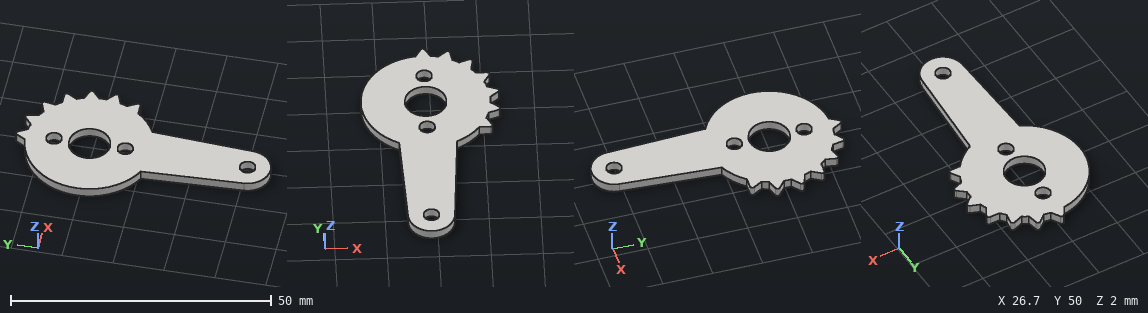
import cadquery as cq
import math

thickness = 2.0
head_radius = 12.5
bore_radius = 4.0
small_hole_radius = 1.5
head_hole_offset = 7.0

tooth_count = 7
tooth_pitch = 20.0
tooth_tip_reach = 14.45
tooth_tip_radius = 0.5
tooth_half_angle = math.radians(30.0)
tooth_root_depth = 1.0

overall_length = 50.0
lever_end_radius = 4.5
lever_end_x = -0.2
lever_end_y = tooth_tip_reach - overall_length + lever_end_radius
lever_neck_half_width = 5.55
lever_neck_y = -math.sqrt(head_radius**2 - lever_neck_half_width**2)


def lever_tangent_point(side):
    """Point where the lever edge on one side (-1 or +1) meets the end arc tangentially."""
    dx = side * lever_neck_half_width - lever_end_x
    dy = lever_neck_y - lever_end_y
    spread = math.acos(lever_end_radius / math.hypot(dx, dy))
    angle = math.atan2(dy, dx) - side * spread
    return (
        lever_end_x + lever_end_radius * math.cos(angle),
        lever_end_y + lever_end_radius * math.sin(angle),
    )


def make_lever():
    return (
        cq.Workplane("XY")
        .moveTo(0, 0)
        .lineTo(-lever_neck_half_width, lever_neck_y)
        .lineTo(*lever_tangent_point(-1))
        .threePointArc((lever_end_x, lever_end_y - lever_end_radius), lever_tangent_point(1))
        .lineTo(lever_neck_half_width, lever_neck_y)
        .close()
        .extrude(thickness)
    )


def make_tooth():
    """Straight-sided tooth pointing along +Y, with a round tip tangent to both flanks."""
    tip_center_y = tooth_tip_reach - tooth_tip_radius
    apex_y = tip_center_y + tooth_tip_radius / math.sin(tooth_half_angle)
    root_y = head_radius - tooth_root_depth
    root_half_width = (apex_y - root_y) * math.tan(tooth_half_angle)
    tip_half_width = tooth_tip_radius * math.cos(tooth_half_angle)
    tip_start_y = tip_center_y + tooth_tip_radius * math.sin(tooth_half_angle)
    return (
        cq.Workplane("XY")
        .moveTo(-root_half_width, root_y)
        .lineTo(-tip_half_width, tip_start_y)
        .threePointArc((0, tooth_tip_reach), (tip_half_width, tip_start_y))
        .lineTo(root_half_width, root_y)
        .close()
        .extrude(thickness)
    )


def make_hole(x, y, radius):
    return cq.Workplane("XY").center(x, y).circle(radius).extrude(thickness)


plate = cq.Workplane("XY").circle(head_radius).extrude(thickness).union(make_lever())
tooth = make_tooth()
for index in range(tooth_count):
    plate = plate.union(tooth.rotate((0, 0, 0), (0, 0, 1), -index * tooth_pitch))

plate = plate.cut(make_hole(0, 0, bore_radius))
for hole_x, hole_y in [(0, head_hole_offset), (0, -head_hole_offset), (lever_end_x, lever_end_y)]:
    plate = plate.cut(make_hole(hole_x, hole_y, small_hole_radius))

result = plate